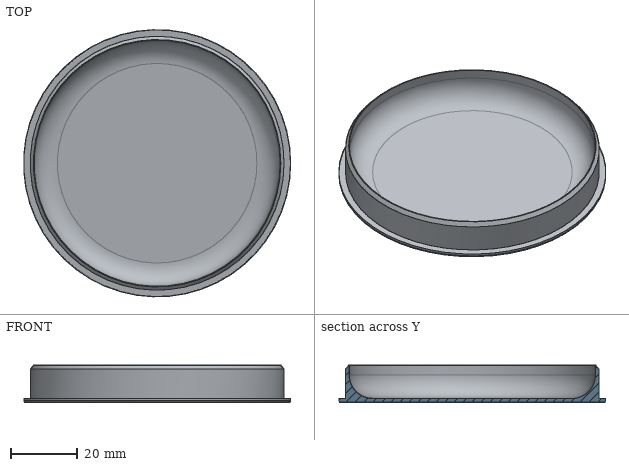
import cadquery as cq

flange_diameter = 80.8
total_height = 11.2

flange_thickness = 1.2
flange_chamfer_width = 0.25
flange_chamfer_height = 0.5

rim_outer_diameter = 76.8
rim_inner_diameter = 74.4
rim_chamfer_width = 1.0
rim_chamfer_height = 1.2

floor_thickness = 1.2
floor_fillet_radius = 7.0


def make_flange():
    """Thin disc with a small bevel around its lower edge."""
    disc = cq.Workplane("XY").circle(flange_diameter / 2).extrude(flange_thickness)
    return disc.faces("<Z").edges().chamfer(flange_chamfer_height, flange_chamfer_width)


def make_rim():
    """Solid cylinder standing on the base plane, bevelled around its top edge."""
    cylinder = cq.Workplane("XY").circle(rim_outer_diameter / 2).extrude(total_height)
    return cylinder.faces(">Z").edges().chamfer(rim_chamfer_height, rim_chamfer_width)


def make_cavity():
    """Round cavity whose wall blends into the flat floor through a large fillet."""
    cavity_depth = total_height - floor_thickness
    cylinder = (
        cq.Workplane("XY")
        .workplane(offset=floor_thickness)
        .circle(rim_inner_diameter / 2)
        .extrude(cavity_depth)
    )
    return cylinder.faces("<Z").edges().fillet(floor_fillet_radius)


result = make_flange().union(make_rim()).cut(make_cavity())